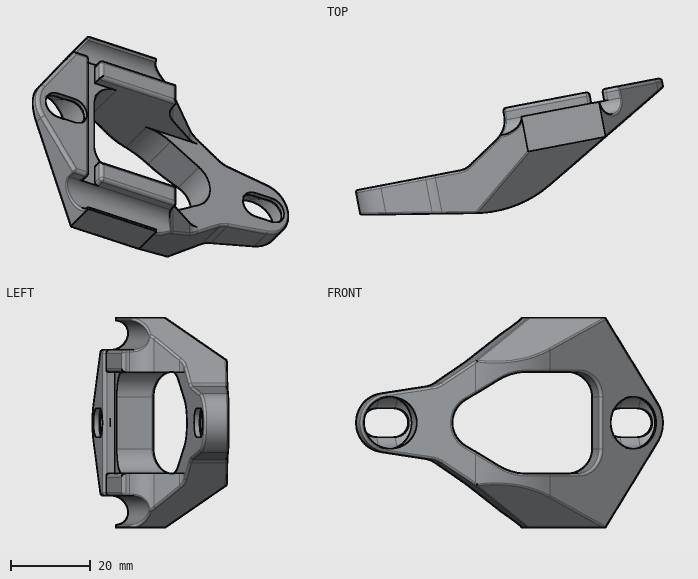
import cadquery as cq
import math

TILT = 10.85

HALF_WIDTH = 26.25
LOBE_X = 8.5
LOBE_RADIUS = 7.45
NECK = (20.1, 9.3)
NECK_RADIUS = 5.9
WING_START_X = 45.3
WING_END_X = 65.0
TIP_X = 73.0
TIP_RADIUS = 8.5

ARM_REAR_Y = 6.15
PAD_REAR_Y = 19.35
PAD_START_X = 41.1
RAMP_START_X = 29.2
RAMP_ANGLE = 33.0
RAMP_BEND_RADIUS = 4.6
PAD_BEND_RADIUS = 6.75
ARM_FRONT_ANGLE = 10.0
ARM_FRONT_Y = -0.15
TIP_FRONT_ANGLE = 30.0
TIP_FRONT_Y = 17.05
FRONT_BEND_RADIUS = 29.2

FACET_ANGLE = 40.0
FACET_TOP_Y = 7.5

WINDOW_HALF_WIDTH = 12.7
WINDOW_END_X = 63.3
WINDOW_NOSE_X = 23.95
WINDOW_NOSE_RADIUS = 6.75
WINDOW_SIDE_ANGLE = 31.0
WINDOW_SIDE_RADIUS = 13.8
WINDOW_CORNER_RADIUS = 6.2

BASE_REAR_Y = 16.4
PAD_HALF_WIDTH = 18.3
GROOVE_RADIUS = 3.6
GROOVE_Y = 16.4
GAP_START_X = 63.1
GAP_END_X = 66.3

ARM_CHANNEL_START_X = 23.0
ARM_CHANNEL_END_X = 49.9

BORE_DIAMETER = 13.0
SLOT_LENGTH = 11.8
SLOT_WIDTH = 7.15
SEAT_LAND = 1.4

EDGE_RADIUS = 0.6
GROOVE_EDGE_RADIUS = 0.45
LIP_RADIUS = 0.4
PAD_EDGE_RADIUS = 0.9

LOBE_FRONT_EDGE = (2.9, -0.45, 4.8)
FACET_SIDE_EDGE = (37.4, 1.15, 20.95)
FACET_FRONT_EDGE = (57.0, 2.85, 22.35)
ARM_REAR_EDGE = (13.05, 6.15, 8.2)
GROOVE_START_EDGE = (42.2, 13.2, 24.2)
GROOVE_END_EDGE = (68.0, 12.5, 22.0)
TIP_FRONT_EDGE = (72.55, 11.8, 15.6)
LIP_EDGE = (55.0, 16.05, 25.8)
WINDOW_FRONT_EDGE = (53.0, 0.5, 12.7)
GAP_CORNER_Y = 17.65

REACH = 115.2


def tan(angle):
    return math.tan(math.radians(angle))


def tangent_point(point, centre_x, radius, side):
    """Where a line from point touches a circle centred on Z = 0."""
    dx = point[0] - centre_x
    heading = math.atan2(point[1], dx)
    swing = side * math.acos(radius / math.hypot(dx, point[1]))
    angle = heading + swing
    return (centre_x + radius * math.cos(angle), radius * math.sin(angle))


def mirrored(point):
    return (point[0], -point[1])


def make_plan():
    lobe = tangent_point(NECK, LOBE_X, LOBE_RADIUS, 1)
    wing_start = (WING_START_X, HALF_WIDTH)
    wing_end = (WING_END_X, HALF_WIDTH)
    tip = tangent_point(wing_end, TIP_X, TIP_RADIUS, -1)
    plan = (
        cq.Workplane("XZ", origin=(0, -REACH / 2, 0))
        .moveTo(*lobe)
        .lineTo(*NECK)
        .lineTo(*wing_start)
        .lineTo(*wing_end)
        .lineTo(*tip)
        .threePointArc((TIP_X + TIP_RADIUS, 0), mirrored(tip))
        .lineTo(*mirrored(wing_end))
        .lineTo(*mirrored(wing_start))
        .lineTo(*mirrored(NECK))
        .lineTo(*mirrored(lobe))
        .threePointArc((LOBE_X - LOBE_RADIUS, 0), lobe)
        .close()
        .extrude(-REACH)
    )
    necks = cq.selectors.BoxSelector(
        (NECK[0] - 0.8, -REACH, -NECK[1] - 0.8), (NECK[0] + 0.8, REACH, NECK[1] + 0.8)
    )
    return plan.edges("|Y").edges(necks).fillet(NECK_RADIUS)


def make_profile():
    start_x = LOBE_X - LOBE_RADIUS
    end_x = TIP_X + TIP_RADIUS
    slope_sum = tan(ARM_FRONT_ANGLE) + tan(TIP_FRONT_ANGLE)
    rise = ARM_FRONT_Y - TIP_FRONT_Y + start_x * tan(ARM_FRONT_ANGLE) + end_x * tan(TIP_FRONT_ANGLE)
    bend_x = rise / slope_sum
    bend_y = TIP_FRONT_Y - (end_x - bend_x) * tan(TIP_FRONT_ANGLE)
    ramp_end_y = ARM_REAR_Y + (PAD_START_X - RAMP_START_X) * tan(RAMP_ANGLE)
    profile = (
        cq.Workplane("XY", origin=(0, 0, -REACH / 2))
        .moveTo(start_x, ARM_FRONT_Y)
        .lineTo(bend_x, bend_y)
        .lineTo(end_x, TIP_FRONT_Y)
        .lineTo(end_x, PAD_REAR_Y)
        .lineTo(PAD_START_X, PAD_REAR_Y)
        .lineTo(PAD_START_X, ramp_end_y)
        .lineTo(RAMP_START_X, ARM_REAR_Y)
        .lineTo(start_x, ARM_REAR_Y)
        .close()
        .extrude(REACH)
    )
    for x, y, radius in (
        (bend_x, bend_y, FRONT_BEND_RADIUS),
        (PAD_START_X, ramp_end_y, PAD_BEND_RADIUS),
        (RAMP_START_X, ARM_REAR_Y, RAMP_BEND_RADIUS),
    ):
        profile = profile.edges(cq.selectors.NearestToPointSelector((x, y, 0))).fillet(radius)
    return profile


def make_facet_cutter(side):
    drop = 30.7
    return (
        cq.Workplane("YZ")
        .moveTo(FACET_TOP_Y, side * HALF_WIDTH)
        .lineTo(FACET_TOP_Y - drop, side * (HALF_WIDTH - drop * tan(FACET_ANGLE)))
        .lineTo(FACET_TOP_Y - drop, side * REACH)
        .lineTo(FACET_TOP_Y, side * REACH)
        .close()
        .extrude(REACH)
    )


def make_groove_cutter(side):
    """The space outside a rail, with the round bar groove along its foot."""
    shelf_width = HALF_WIDTH
    shelf = cq.Workplane("XY").box(REACH, REACH, shelf_width, centered=(False, False, True))
    shelf = shelf.translate((0, BASE_REAR_Y, side * (PAD_HALF_WIDTH + shelf_width / 2)))
    bar = (
        cq.Workplane("YZ")
        .center(GROOVE_Y, side * (PAD_HALF_WIDTH + GROOVE_RADIUS))
        .circle(GROOVE_RADIUS)
        .extrude(REACH)
    )
    return shelf.union(bar)


def make_channel_cutter(start_x, end_x, floor_y, width):
    """A channel cut into the rear, symmetric about Z = 0."""
    channel = cq.Workplane("XY").box(end_x - start_x, REACH, width, centered=(False, False, True))
    return channel.translate((start_x, floor_y, 0))


def make_window_cutter():
    centre_x = WINDOW_NOSE_X + WINDOW_NOSE_RADIUS
    angle = math.radians(WINDOW_SIDE_ANGLE)
    nose = (
        centre_x - WINDOW_NOSE_RADIUS * math.sin(angle),
        WINDOW_NOSE_RADIUS * math.cos(angle),
    )
    shoulder = (nose[0] + (WINDOW_HALF_WIDTH - nose[1]) / math.tan(angle), WINDOW_HALF_WIDTH)
    corner = (WINDOW_END_X, WINDOW_HALF_WIDTH)
    window = (
        cq.Workplane("XZ", origin=(0, -REACH / 2, 0))
        .moveTo(*nose)
        .lineTo(*shoulder)
        .lineTo(*corner)
        .lineTo(*mirrored(corner))
        .lineTo(*mirrored(shoulder))
        .lineTo(*mirrored(nose))
        .threePointArc((WINDOW_NOSE_X, 0), nose)
        .close()
        .extrude(-REACH)
    )
    for (x, z), radius in ((shoulder, WINDOW_SIDE_RADIUS), (corner, WINDOW_CORNER_RADIUS)):
        for side in (1, -1):
            edge = cq.selectors.NearestToPointSelector((x, 0, side * z))
            window = window.edges("|Y").edges(edge).fillet(radius)
    return window


def make_hole_cutter(x, rear_y):
    """A slot with a rounded seat, the seat held inside a round bore."""
    bore_radius = BORE_DIAMETER / 2
    seat_y = rear_y - SEAT_LAND - math.sqrt(bore_radius**2 - (SLOT_WIDTH / 2) ** 2)
    travel = SLOT_LENGTH - SLOT_WIDTH
    face = cq.Workplane("XZ", origin=(x, rear_y + 0.8, 0))
    slot = face.slot2D(SLOT_LENGTH, SLOT_WIDTH).extrude(REACH)
    bore = face.circle(bore_radius).extrude(REACH)
    seat = cq.Workplane("XZ", origin=(x, seat_y, 0)).slot2D(travel + BORE_DIAMETER, BORE_DIAMETER)
    seat = seat.extrude(REACH)
    trough = cq.Workplane("YZ", origin=(x - travel / 2, seat_y, 0)).circle(bore_radius).extrude(travel)
    seat = seat.union(trough)
    for end in (-1, 1):
        ball = cq.Workplane("XY").sphere(bore_radius).translate((x + end * travel / 2, seat_y, 0))
        seat = seat.union(ball)
    return slot.union(bore.intersect(seat))


def round_pairs(body, radius, *points):
    """Round the edges nearest to each point and to its mirror image across Z = 0."""
    edges = cq.Workplane("XY")
    for x, y, z in points:
        for side in (1, -1):
            edges = edges.add(body.edges(cq.selectors.NearestToPointSelector((x, y, side * z))))
    return body.newObject(edges.vals()).fillet(radius)


body = make_plan().intersect(make_profile())
for side in (1, -1):
    body = body.cut(make_facet_cutter(side))
body = round_pairs(body, EDGE_RADIUS, LOBE_FRONT_EDGE, FACET_SIDE_EDGE, FACET_FRONT_EDGE)
body = round_pairs(body, EDGE_RADIUS, ARM_REAR_EDGE)

for side in (1, -1):
    body = body.cut(make_groove_cutter(side))
body = round_pairs(body, GROOVE_EDGE_RADIUS, GROOVE_START_EDGE, GROOVE_END_EDGE)
body = round_pairs(body, EDGE_RADIUS, TIP_FRONT_EDGE)
body = round_pairs(body, LIP_RADIUS, LIP_EDGE)

window_width = 2 * WINDOW_HALF_WIDTH
body = body.cut(make_channel_cutter(ARM_CHANNEL_START_X, ARM_CHANNEL_END_X, ARM_REAR_Y, window_width))
body = body.cut(make_channel_cutter(ARM_CHANNEL_START_X, GAP_END_X, BASE_REAR_Y, window_width))
body = body.cut(make_channel_cutter(GAP_START_X, GAP_END_X, BASE_REAR_Y, 2 * HALF_WIDTH))
body = body.cut(make_window_cutter())
body = round_pairs(body, EDGE_RADIUS, WINDOW_FRONT_EDGE)

gap_corners = [(x, GAP_CORNER_Y, PAD_HALF_WIDTH) for x in (GAP_START_X, GAP_END_X)]
body = round_pairs(body, PAD_EDGE_RADIUS, *gap_corners)
body = body.faces(">Y").edges().fillet(PAD_EDGE_RADIUS)

body = body.cut(make_hole_cutter(LOBE_X, ARM_REAR_Y))
body = body.cut(make_hole_cutter(TIP_X, PAD_REAR_Y))

result = body.rotate((0, 0, 0), (0, 0, 1), TILT)